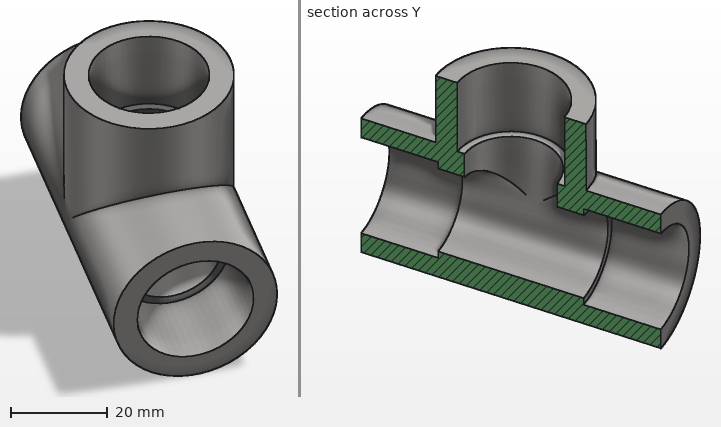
import cadquery as cq

outer_diameter = 35.2
bore_diameter = 21.6
socket_diameter = 25.0
socket_depth = 18.0
run_length = 70.0
arm_length = run_length / 2

arm_directions = [(1, 0, 0), (-1, 0, 0), (0, 0, 1)]


def arm_cylinder(direction, diameter, start, end):
    """Cylinder on an arm axis between two distances from the tee centre."""
    axis = cq.Vector(*direction)
    solid = cq.Solid.makeCylinder(diameter / 2, end - start, axis * start, axis)
    return cq.Workplane(obj=solid)


def make_body():
    """Solid outer body: a full-length run joined by the branch."""
    run = arm_cylinder((1, 0, 0), outer_diameter, -arm_length, arm_length)
    branch = arm_cylinder((0, 0, 1), outer_diameter, 0, arm_length)
    return run.union(branch)


def cut_bores(body):
    """Through bore along the run and a branch bore that opens into it."""
    run_bore = arm_cylinder((1, 0, 0), bore_diameter, -arm_length, arm_length)
    branch_bore = arm_cylinder((0, 0, 1), bore_diameter, 0, arm_length)
    return body.cut(run_bore).cut(branch_bore)


def cut_sockets(body):
    """Wider pipe socket, ending in a flat shoulder, at each open end."""
    for direction in arm_directions:
        socket = arm_cylinder(direction, socket_diameter, arm_length - socket_depth, arm_length)
        body = body.cut(socket)
    return body


result = cut_sockets(cut_bores(make_body()))